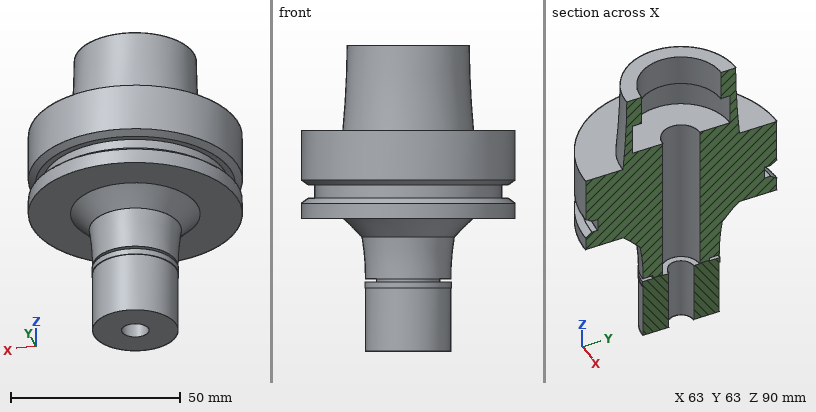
import cadquery as cq

NUT_HEIGHT = 20.4
COLLAR_HEIGHT = 1.8
GAP_HEIGHT = 0.9
NECK_TOP = 33.6
FLANGE_BOTTOM = 39.1
GROOVE_LOWER_EDGE = 43.6
GROOVE_UPPER_EDGE = 50.4
GROOVE_LOWER_CHAMFER = 1.5
GROOVE_UPPER_CHAMFER = 1.4
FLANGE_TOP = 65.0
TOTAL_HEIGHT = 90.0
SOCKET_LIP_DEPTH = 10.0
SOCKET_DEPTH = 20.0

NUT_RADIUS = 12.6
COLLAR_RADIUS = 12.8
NUT_BORE_RADIUS = 4.05
SPIGOT_RADIUS = 9.4
NECK_BOTTOM_RADIUS = NUT_RADIUS
NECK_TOP_RADIUS = 13.6
FLARE_RADIUS = 19.1
FLANGE_RADIUS = 31.5
GROOVE_RADIUS = 27.5
GROOVE_LIP_RADIUS = 29.4
SHANK_BASE_RADIUS = 19.3
SHANK_TOP_RADIUS = 18.0
SOCKET_MOUTH_RADIUS = 13.05
SOCKET_RECESS_RADIUS = 16.0
HOLDER_BORE_RADIUS = 6.0

NECK_BOW = 0.3
FLARE_BOW = 0.2
SHANK_BOW = 0.3


def bowed_middle(start, end, bow):
    """Midpoint of an (r, z) segment, moved towards the axis by the bow."""
    return (start[0] + end[0]) / 2 - bow, (start[1] + end[1]) / 2


def make_holder():
    """Revolved holder with a tapered shank, grooved flange and flared neck."""
    spigot_top = NUT_HEIGHT + GAP_HEIGHT
    socket_floor = TOTAL_HEIGHT - SOCKET_DEPTH
    lip_bottom = TOTAL_HEIGHT - SOCKET_LIP_DEPTH
    neck_bottom = (NECK_BOTTOM_RADIUS, spigot_top)
    neck_top = (NECK_TOP_RADIUS, NECK_TOP)
    flare_top = (FLARE_RADIUS, FLANGE_BOTTOM)
    shank_base = (SHANK_BASE_RADIUS, FLANGE_TOP)
    shank_top = (SHANK_TOP_RADIUS, TOTAL_HEIGHT)
    groove_floor_bottom = GROOVE_LOWER_EDGE + GROOVE_LOWER_CHAMFER
    groove_floor_top = GROOVE_UPPER_EDGE - GROOVE_UPPER_CHAMFER

    profile = (
        cq.Workplane("XZ")
        .moveTo(HOLDER_BORE_RADIUS, NUT_HEIGHT)
        .lineTo(SPIGOT_RADIUS, NUT_HEIGHT)
        .lineTo(SPIGOT_RADIUS, spigot_top)
        .lineTo(*neck_bottom)
        .threePointArc(bowed_middle(neck_bottom, neck_top, NECK_BOW), neck_top)
        .threePointArc(bowed_middle(neck_top, flare_top, FLARE_BOW), flare_top)
        .lineTo(FLANGE_RADIUS, FLANGE_BOTTOM)
        .lineTo(FLANGE_RADIUS, GROOVE_LOWER_EDGE)
        .lineTo(GROOVE_LIP_RADIUS, groove_floor_bottom)
        .lineTo(GROOVE_RADIUS, groove_floor_bottom)
        .lineTo(GROOVE_RADIUS, groove_floor_top)
        .lineTo(GROOVE_LIP_RADIUS, groove_floor_top)
        .lineTo(FLANGE_RADIUS, GROOVE_UPPER_EDGE)
        .lineTo(FLANGE_RADIUS, FLANGE_TOP)
        .lineTo(*shank_base)
        .threePointArc(bowed_middle(shank_base, shank_top, SHANK_BOW), shank_top)
        .lineTo(SOCKET_MOUTH_RADIUS, TOTAL_HEIGHT)
        .lineTo(SOCKET_MOUTH_RADIUS, lip_bottom)
        .lineTo(SOCKET_RECESS_RADIUS, lip_bottom)
        .lineTo(SOCKET_RECESS_RADIUS, socket_floor)
        .lineTo(HOLDER_BORE_RADIUS, socket_floor)
        .close()
    )
    return profile.revolve(360, (0, 0, 0), (0, 1, 0))


def make_nut():
    """Cylindrical nut with a thin collar at its upper end and a through bore."""
    collar_bottom = NUT_HEIGHT - COLLAR_HEIGHT
    barrel = cq.Workplane("XY").circle(NUT_RADIUS).extrude(collar_bottom)
    collar = cq.Workplane("XY").workplane(offset=collar_bottom).circle(COLLAR_RADIUS).extrude(COLLAR_HEIGHT)
    bore = cq.Workplane("XY").circle(NUT_BORE_RADIUS).extrude(NUT_HEIGHT)
    return barrel.union(collar).cut(bore)


holder = make_holder()
nut = make_nut()
result = cq.Compound.makeCompound([holder.val(), nut.val()])